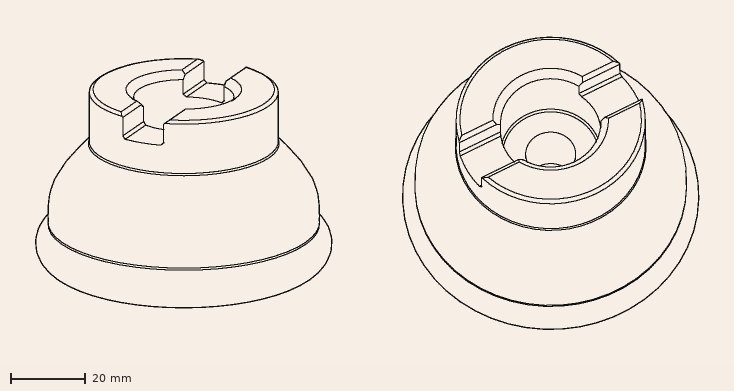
import cadquery as cq
import math

outer_diameter = 80.0
height = 50.0

ring_height = 12.0
ring_section_radius = ring_height / 2
ring_center_radius = outer_diameter / 2 - ring_section_radius

dome_diameter = 73.3
dome_radius = dome_diameter / 2
dome_start_z = 15.8
dome_mid_radius = 32.6
dome_mid_z = 26.7
shoulder_radius = 25.8
shoulder_z = 34.6
shoulder_angle = math.radians(42)
neck_diameter = 51.0
neck_radius = neck_diameter / 2
neck_start_z = 35.1

lower_bevel_width = 0.6
lower_bevel_height = 0.5
upper_bevel_width = 0.4
upper_bevel_height = 0.2

bore_radius = 27.0 / 2
bore_depth = 20.0
bore_floor_z = height - bore_depth
bore_floor_chamfer = 0.6
bore_chamfer_width = 2.1
bore_chamfer_height = 2.1
hole_radius = 13.5 / 2

slot_width = 12.2
slot_depth = 7.0
slot_floor_z = height - slot_depth
slot_floor_chamfer = 0.8
slot_chamfer_width = 1.2
slot_chamfer_height = 1.0


def make_housing_blank():
    """Dome and neck revolved about Z; the dome is one smooth curve."""
    return (
        cq.Workplane("XZ")
        .moveTo(0, ring_height)
        .lineTo(dome_radius, ring_height)
        .lineTo(dome_radius, dome_start_z)
        .spline(
            [(dome_mid_radius, dome_mid_z), (shoulder_radius, shoulder_z)],
            tangents=[(0, 1), (-math.sin(shoulder_angle), math.cos(shoulder_angle))],
            includeCurrent=True,
        )
        .lineTo(neck_radius, neck_start_z)
        .lineTo(neck_radius, height - upper_bevel_height - lower_bevel_height)
        .lineTo(neck_radius - lower_bevel_width, height - upper_bevel_height)
        .lineTo(neck_radius - lower_bevel_width - upper_bevel_width, height)
        .lineTo(0, height)
        .close()
        .revolve(360, (0, 0), (0, 1))
    )


def make_bore():
    """Chamfered bore with a chamfered floor corner, and the hole below it."""
    bore = (
        cq.Workplane("XY", origin=(0, 0, bore_floor_z))
        .circle(bore_radius)
        .extrude(bore_depth)
        .faces("<Z").edges().chamfer(bore_floor_chamfer)
    )
    countersink = (
        cq.Workplane("XZ")
        .moveTo(0, height - bore_chamfer_height)
        .lineTo(bore_radius, height - bore_chamfer_height)
        .lineTo(bore_radius + bore_chamfer_width, height)
        .lineTo(0, height)
        .close()
        .revolve(360, (0, 0), (0, 1))
    )
    hole = cq.Workplane("XY").circle(hole_radius).extrude(height)
    return bore.union(countersink).union(hole)


def make_slot():
    """Slot along Y with chamfered floor corners and flared top edges."""
    half_width = slot_width / 2
    flare_half_width = half_width + slot_chamfer_width
    channel = (
        cq.Workplane("XY", origin=(0, 0, slot_floor_z))
        .rect(slot_width, outer_diameter)
        .extrude(slot_depth)
        .edges("|Y and <Z").chamfer(slot_floor_chamfer)
    )
    flare = (
        cq.Workplane("XZ", origin=(0, outer_diameter / 2, 0))
        .moveTo(-half_width, height - slot_chamfer_height)
        .lineTo(half_width, height - slot_chamfer_height)
        .lineTo(flare_half_width, height)
        .lineTo(-flare_half_width, height)
        .close()
        .extrude(outer_diameter)
    )
    return channel.union(flare)


def make_ring():
    """Round-edged rim below the housing, with a short collar meeting the dome."""
    overhang = dome_radius - ring_center_radius
    collar_z = ring_section_radius + math.sqrt(ring_section_radius**2 - overhang**2)
    return (
        cq.Workplane("XZ")
        .moveTo(hole_radius, 0)
        .lineTo(ring_center_radius, 0)
        .threePointArc((outer_diameter / 2, ring_section_radius), (dome_radius, collar_z))
        .lineTo(dome_radius, ring_height)
        .lineTo(hole_radius, ring_height)
        .close()
        .revolve(360, (0, 0), (0, 1))
    )


housing = make_housing_blank().cut(make_bore()).cut(make_slot())
ring = make_ring()

result = cq.Compound.makeCompound([housing.val(), ring.val()])